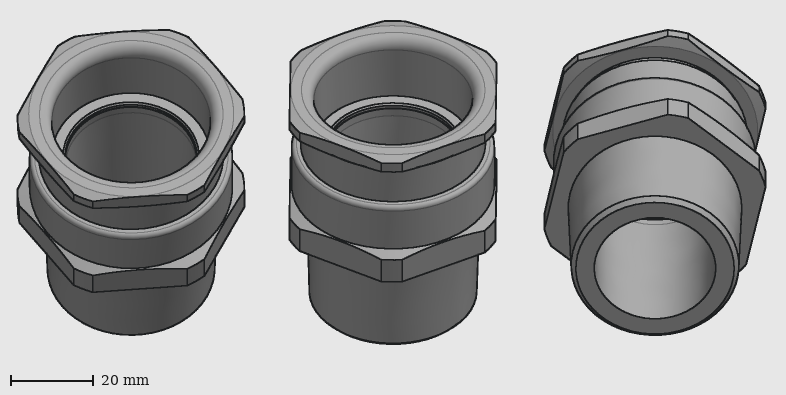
import cadquery as cq

hex_sides = 6
hex_across_flats = 50.0
hex_across_corners = 55.0
hex_corner_radius = hex_across_corners / 2

body_hex_bottom = 26.15
body_hex_top = 34.1
collar_top = 47.05
body_top = 57.2
nut_hex_bottom = 59.7
nut_top = 63.75

spigot_tip_radius = 19.2
spigot_lower_radius = 20.35
spigot_upper_radius = 21.05
spigot_chamfer_height = 1.2
body_hex_chamfer_height = 1.15
collar_radius = 24.6
collar_fillet = 1.15
sleeve_radius = 22.45

nut_neck_radius = 21.5
nut_bore_radius = 19.25
nut_mouth_fillet = 3.0
nut_face_radius = 24.85
nut_chamfer_height = 0.7

socket_floor = 45.1
taper_top = 42.9
passage_top_radius = 15.95
passage_bottom_radius = 14.7

neck_lip_bore_radius = 16.05
neck_lip_thickness = 1.3
neck_lip_chamfer = 0.45
neck_lip_top = socket_floor + neck_lip_thickness


def revolve_profile(profile):
    """Turn a closed (radius, height) profile about the Z axis."""
    return profile.close().revolve(360, (0, 0, 0), (0, 1, 0))


def hex_prism(bottom, top):
    """Hexagonal prism with two flats facing -X and +X."""
    return (
        cq.Workplane("XY", origin=(0, 0, bottom))
        .polygon(hex_sides, hex_across_flats, circumscribed=True)
        .extrude(top - bottom)
    )


def make_entry_body():
    """Tapered entry with its hexagon, collar and socketed sleeve."""
    hex_envelope = revolve_profile(
        cq.Workplane("XZ")
        .moveTo(0, body_hex_bottom)
        .lineTo(hex_corner_radius, body_hex_bottom)
        .lineTo(hex_corner_radius, body_hex_top - body_hex_chamfer_height)
        .lineTo(collar_radius, body_hex_top)
        .lineTo(0, body_hex_top)
    )
    body = hex_prism(body_hex_bottom, body_hex_top).intersect(hex_envelope)

    spigot = revolve_profile(
        cq.Workplane("XZ")
        .lineTo(spigot_tip_radius, 0)
        .lineTo(spigot_lower_radius, spigot_chamfer_height)
        .lineTo(spigot_upper_radius, body_hex_bottom)
        .lineTo(0, body_hex_bottom)
    )

    collar = (
        cq.Workplane("XY", origin=(0, 0, body_hex_top))
        .circle(collar_radius)
        .extrude(collar_top - body_hex_top)
        .faces(">Z")
        .edges()
        .fillet(collar_fillet)
    )
    sleeve = (
        cq.Workplane("XY", origin=(0, 0, collar_top))
        .circle(sleeve_radius)
        .extrude(body_top - collar_top)
    )

    passage = revolve_profile(
        cq.Workplane("XZ")
        .lineTo(passage_bottom_radius, 0)
        .lineTo(passage_top_radius, taper_top)
        .lineTo(passage_top_radius, socket_floor)
        .lineTo(nut_neck_radius, socket_floor)
        .lineTo(nut_neck_radius, body_top)
        .lineTo(0, body_top)
    )
    return body.union(spigot).union(collar).union(sleeve).cut(passage)


def make_gland_nut():
    """Nut whose hollow neck sits in the socket of the entry body."""
    hex_envelope = revolve_profile(
        cq.Workplane("XZ")
        .moveTo(0, nut_hex_bottom)
        .lineTo(nut_face_radius, nut_hex_bottom)
        .lineTo(hex_corner_radius, nut_hex_bottom + nut_chamfer_height)
        .lineTo(hex_corner_radius, nut_top - nut_chamfer_height)
        .lineTo(nut_face_radius, nut_top)
        .lineTo(0, nut_top)
    )
    head = hex_prism(nut_hex_bottom, nut_top).intersect(hex_envelope)

    neck = (
        cq.Workplane("XY", origin=(0, 0, socket_floor))
        .circle(nut_neck_radius)
        .extrude(nut_hex_bottom - socket_floor)
    )

    bore = revolve_profile(
        cq.Workplane("XZ")
        .moveTo(0, socket_floor)
        .lineTo(neck_lip_bore_radius, socket_floor)
        .lineTo(neck_lip_bore_radius, neck_lip_top - neck_lip_chamfer)
        .lineTo(neck_lip_bore_radius + neck_lip_chamfer, neck_lip_top)
        .lineTo(nut_bore_radius, neck_lip_top)
        .lineTo(nut_bore_radius, nut_top)
        .lineTo(0, nut_top)
    )
    nut = head.union(neck).cut(bore)

    mouth_edge = cq.selectors.RadiusNthSelector(0)
    return nut.faces(">Z").edges(mouth_edge).fillet(nut_mouth_fillet)


entry_body = make_entry_body()
gland_nut = make_gland_nut()
result = cq.Compound.makeCompound([entry_body.val(), gland_nut.val()])